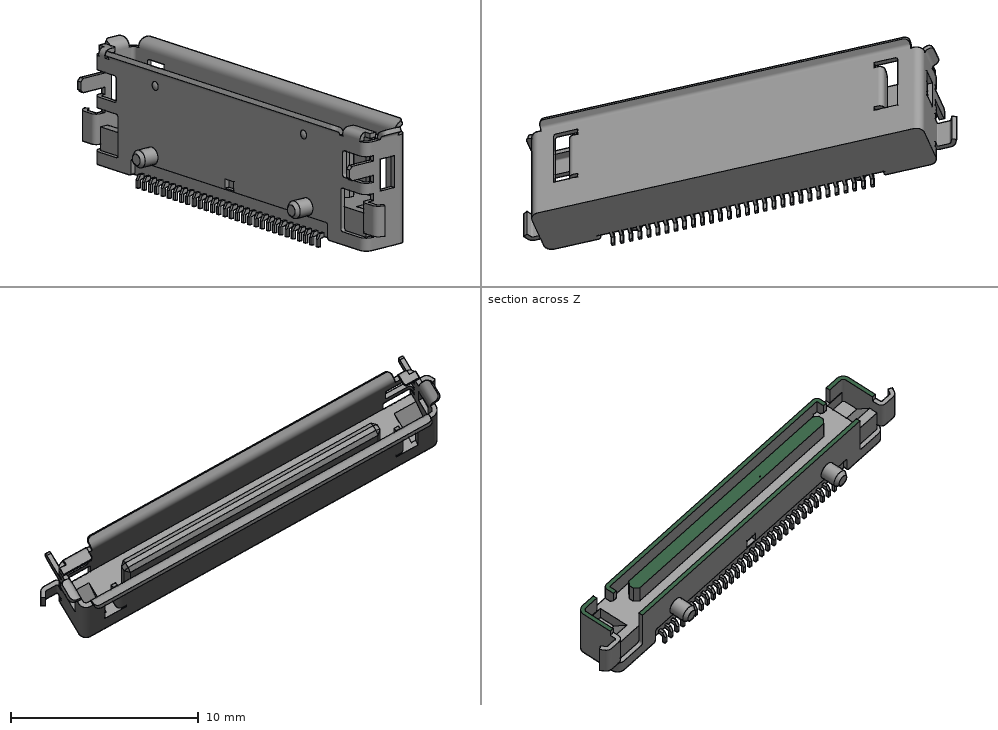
import cadquery as cq
import math

overall_length = 24.2
sheet = 0.27

shell_length = 21.93
shell_depth = 2.9
shell_height = 6.05
shell_corner_radius = 0.45
half_length = shell_length / 2

body_height = 2.03
pocket_length = 1.33
pocket_front = 0.77
pocket_ramp_end = 1.67
pocket_back = 2.61
pocket_depth = 0.73
tongue_length = 15.68
tongue_thickness = 0.77
tongue_centre_y = 1.75
tongue_top = 5.42
tongue_chamfer = 0.25

lip_bend_radius = 0.22
lip_angle = 65.0
lip_straight = 0.35
lip_corner_radius = 0.3
front_lip_left = -9.73
front_lip_right = 8.88
back_lip_length = 20.67
side_lip_width = 1.25
side_lip_centre_y = 1.7

fold_radius = 0.36
fold_top = 6.5
fold_reach = 0.77
left_fold_inner_x = 10.02
right_fold_inner_x = 9.12
fold_root_x = 10.53
fold_outer_x = 10.91

window_relief_y = 0.58
window_fillet = 0.15
upper_window_inner_x = 9.12
upper_window_bottom = 3.78
upper_window_top = 5.25
lower_window_inner_x = 8.98
lower_window_bottom = 0.73
lower_window_top = 3.15
side_slot_front = 1.06
side_slot_back = 2.05
side_slot_bottom = 3.2
side_slot_top = 4.95
back_window_outer_x = 9.6
back_window_inner_x = 8.28
back_window_top = 5.57
pin_cutout_length = 15.83
pin_cutout_height = 0.95
pin_cutout_fillet = 0.15
locating_hole_length = 0.7
locating_hole_bottom = 1.02
locating_hole_height = 0.5

board_tab_reach = 1.11
board_tab_bottom = 4.16
board_tab_top = 4.95
board_tab_chamfer = 0.17

arm_bottom = 1.06
arm_top = 2.75
arm_front_y = -0.07
arm_root_radius = 0.31
arm_hook_radius = 0.39
arm_hook_angle = 60.0
arm_hook_straight = 0.3

latch_outer_x = 8.8
latch_reach_y = 2.18
latch_bend_radius = 0.3
latch_bottom = 2.27
latch_top = 5.2
latch_chamfer = 0.22

post_x = 6.25
post_z = 1.48
post_radius = 0.48
post_reach = 1.11
post_chamfer_length = 0.22
post_chamfer_depth = 0.17
dimple_x = 5.98
dimple_z = 5.42
dimple_radius = 0.25
dimple_height = 0.1
pin_count = 30
pin_row_length = 14.5
pin_width = 0.17
pin_thickness = 0.17
pin_top = 0.22
pin_bend_z = -0.07
pin_bottom = -0.5


def box(x0, x1, y0, y1, z0, z1):
    return cq.Workplane("XY").box(x1 - x0, y1 - y0, z1 - z0, centered=False).translate((x0, y0, z0))


def both_ends(left):
    """The left-hand feature together with its mirror image on the right."""
    return left.union(left.mirror("YZ"))


def make_shell():
    outer = cq.Workplane("XY").rect(shell_length, shell_depth).extrude(shell_height)
    outer = outer.edges("|Z").fillet(shell_corner_radius)
    inner = cq.Workplane("XY").rect(shell_length - 2 * sheet, shell_depth - 2 * sheet).extrude(shell_height)
    inner = inner.edges("|Z").fillet(shell_corner_radius - sheet)
    return outer.cut(inner).translate((0, shell_depth / 2, 0))


def corner_window(inner_x, bottom, top):
    """Opening in the left of the front wall that wraps around the corner."""
    window = box(-half_length, -inner_x, 0, window_relief_y, bottom, top)
    return window.edges("|Y and >X").fillet(window_fillet)


def left_openings():
    upper = corner_window(upper_window_inner_x, upper_window_bottom, upper_window_top)
    lower = corner_window(lower_window_inner_x, lower_window_bottom, lower_window_top)
    slot = box(-half_length, -half_length + sheet, side_slot_front, side_slot_back,
               side_slot_bottom, side_slot_top)
    back = box(-back_window_outer_x, -back_window_inner_x, shell_depth - sheet, shell_depth,
               body_height, back_window_top)
    back = back.edges("|Y and >Z and <X").fillet(window_fillet)
    return upper.union(lower).union(slot).union(back)


def front_openings():
    half = pin_cutout_length / 2
    cutout = box(-half, half, 0, sheet, 0, pin_cutout_height)
    strip_half = half + 2 * pin_cutout_fillet
    cutout = cutout.union(box(-strip_half, strip_half, 0, sheet, -2 * pin_cutout_fillet, 0))
    corners = cq.selectors.BoxSelector((-half - pin_cutout_fillet, -sheet, -pin_cutout_fillet),
                                       (half + pin_cutout_fillet, 2 * sheet, 2 * pin_cutout_height))
    cutout = cutout.edges("|Y").edges(corners).fillet(pin_cutout_fillet)
    hole = box(-locating_hole_length / 2, locating_hole_length / 2, 0, sheet,
               locating_hole_bottom, locating_hole_bottom + locating_hole_height)
    return cutout.union(hole)


def make_lip(length):
    """Lip flaring toward -Y from a wall whose outer face is y = 0, centred on x = 0."""
    angle = math.radians(lip_angle)
    along = (-math.sin(angle), math.cos(angle))

    def bend_point(radius, turned):
        return (-lip_bend_radius + radius * math.cos(turned), shell_height + radius * math.sin(turned))

    def tip_point(radius):
        y, z = bend_point(radius, angle)
        return (y + lip_straight * along[0], z + lip_straight * along[1])

    inside = lip_bend_radius
    outside = lip_bend_radius + sheet
    lip = (
        cq.Workplane("YZ")
        .moveTo(*bend_point(inside, 0))
        .threePointArc(bend_point(inside, angle / 2), bend_point(inside, angle))
        .lineTo(*tip_point(inside))
        .lineTo(*tip_point(outside))
        .lineTo(*bend_point(outside, angle))
        .threePointArc(bend_point(outside, angle / 2), bend_point(outside, 0))
        .close()
        .extrude(length / 2, both=True)
    )
    across = cq.Vector(0, math.cos(angle), math.sin(angle))
    return lip.edges(cq.selectors.ParallelDirSelector(across)).fillet(lip_corner_radius)


def make_lips():
    front = make_lip(front_lip_right - front_lip_left)
    front = front.translate(((front_lip_left + front_lip_right) / 2, 0, 0))
    back = make_lip(back_lip_length).rotate((0, 0, 0), (0, 0, 1), 180).translate((0, shell_depth, 0))
    side = make_lip(side_lip_width).rotate((0, 0, 0), (0, 0, 1), -90)
    side = side.translate((-half_length, side_lip_centre_y, 0))
    return front.union(back).union(both_ends(side))


def left_fold(inner_x):
    """Left corner tab that rises from the front wall and folds flat over the mouth."""
    bend_z = fold_top - fold_radius
    inner_radius = fold_radius - sheet
    diagonal = math.sqrt(0.5)
    root = (
        cq.Workplane("YZ")
        .moveTo(0, shell_height)
        .lineTo(0, bend_z)
        .threePointArc((fold_radius * (1 - diagonal), bend_z + fold_radius * diagonal),
                       (fold_radius, fold_top))
        .lineTo(fold_radius, fold_top - sheet)
        .threePointArc((fold_radius - inner_radius * diagonal, bend_z + inner_radius * diagonal),
                       (sheet, bend_z))
        .lineTo(sheet, shell_height)
        .close()
        .extrude(fold_root_x - inner_x)
        .translate((-fold_root_x, 0, 0))
    )
    flat = box(-fold_outer_x, -inner_x, fold_radius, fold_reach, fold_top - sheet, fold_top)
    flat = flat.edges("|Z and >Y and >X").fillet(window_fillet)
    return root.union(flat)


def left_board_tab():
    tab = box(-half_length, -half_length + sheet, -board_tab_reach, window_relief_y,
              board_tab_bottom, board_tab_top)
    return tab.edges("|X and <Y").chamfer(board_tab_chamfer)


def left_arm():
    """Arm that leaves the side wall, turns outward and ends in a hook."""
    angle = math.radians(arm_hook_angle)
    diagonal = math.sqrt(0.5)
    wall_x = -half_length + sheet
    root_x = wall_x - arm_root_radius
    root_y = arm_front_y + arm_root_radius
    root_inner = arm_root_radius - sheet
    hook_y = arm_front_y + arm_hook_radius
    hook_x = (-overall_length / 2 + arm_hook_radius * math.sin(angle)
              + arm_hook_straight * math.cos(angle))
    hook_inner = arm_hook_radius - sheet

    def hook_point(radius, turned):
        return (hook_x - radius * math.sin(turned), hook_y - radius * math.cos(turned))

    def tip_point(radius):
        x, y = hook_point(radius, angle)
        return (x - arm_hook_straight * math.cos(angle), y + arm_hook_straight * math.sin(angle))

    return (
        cq.Workplane("XY")
        .moveTo(wall_x, window_relief_y)
        .lineTo(wall_x, root_y)
        .threePointArc((root_x + arm_root_radius * diagonal, root_y - arm_root_radius * diagonal),
                       (root_x, arm_front_y))
        .lineTo(hook_x, arm_front_y)
        .threePointArc(hook_point(arm_hook_radius, angle / 2), hook_point(arm_hook_radius, angle))
        .lineTo(*tip_point(arm_hook_radius))
        .lineTo(*tip_point(hook_inner))
        .lineTo(*hook_point(hook_inner, angle))
        .threePointArc(hook_point(hook_inner, angle / 2), hook_point(hook_inner, 0))
        .lineTo(root_x, arm_front_y + sheet)
        .threePointArc((root_x + root_inner * diagonal, root_y - root_inner * diagonal),
                       (root_x + root_inner, root_y))
        .lineTo(wall_x - sheet, window_relief_y)
        .close()
        .extrude(arm_top - arm_bottom)
        .translate((0, 0, arm_bottom))
    )


def left_latch():
    """Tab that leaves the back window's inner edge and turns into the shell."""
    bend = (
        cq.Workplane("XY")
        .moveTo(-back_window_inner_x, shell_depth)
        .lineTo(-latch_outer_x, shell_depth)
        .lineTo(-latch_outer_x, latch_reach_y)
        .lineTo(-latch_outer_x + sheet, latch_reach_y)
        .lineTo(-latch_outer_x + sheet, shell_depth - sheet)
        .lineTo(-back_window_inner_x, shell_depth - sheet)
        .close()
        .extrude(latch_top - latch_bottom)
        .translate((0, 0, latch_bottom))
    )
    bend = bend.edges("|Z and >Y and <X").fillet(latch_bend_radius)
    return bend.edges("|X and <Y").chamfer(latch_chamfer)


def make_body():
    half = half_length - sheet
    body = box(-half, half, sheet, shell_depth - sheet, 0, body_height)
    pocket = (
        cq.Workplane("YZ")
        .polyline([(pocket_front, body_height), (pocket_ramp_end, body_height - pocket_depth),
                   (pocket_back, body_height - pocket_depth), (pocket_back, body_height)])
        .close()
        .extrude(pocket_length)
        .translate((-half, 0, 0))
    )
    tongue = box(-tongue_length / 2, tongue_length / 2, tongue_centre_y - tongue_thickness / 2,
                 tongue_centre_y + tongue_thickness / 2, body_height, tongue_top)
    tongue = tongue.edges("|Z or >Z").chamfer(tongue_chamfer)
    return body.cut(both_ends(pocket)).union(tongue)


def left_post():
    """Locating post standing out of the front, with a bevelled tip."""
    post = cq.Workplane("XZ").circle(post_radius).extrude(post_reach + sheet)
    post = post.faces("<Y").chamfer(post_chamfer_length, post_chamfer_depth)
    return post.translate((-post_x, sheet, post_z))


def left_dimple():
    """Shallow domed bump on the front wall."""
    dome_radius = (dimple_radius ** 2 + dimple_height ** 2) / (2 * dimple_height)
    centre_y = dome_radius - dimple_height
    half_angle = math.asin(dimple_radius / dome_radius) / 2
    halfway = (dome_radius * math.sin(half_angle), centre_y - dome_radius * math.cos(half_angle))
    dome = (
        cq.Workplane("XY")
        .moveTo(0, -dimple_height)
        .threePointArc(halfway, (dimple_radius, 0))
        .lineTo(dimple_radius, sheet)
        .lineTo(0, sheet)
        .close()
        .revolve(360, (0, 0), (0, 1))
    )
    return dome.translate((-dimple_x, 0, dimple_z))


def make_pins():
    """Row of contact tails that slope out of the body and turn down."""
    pin = (
        cq.Workplane("YZ")
        .polyline([(sheet, pin_top), (0, pin_top), (-pin_thickness, pin_bend_z), (-pin_thickness, pin_bottom),
                   (0, pin_bottom), (0, pin_bend_z), (sheet, 0)])
        .close()
        .extrude(pin_width / 2, both=True)
    )
    pitch = pin_row_length / (pin_count - 1)
    return [pin.translate((index * pitch - pin_row_length / 2, 0, 0)) for index in range(pin_count)]


shell = make_shell().cut(both_ends(left_openings())).cut(front_openings()).union(make_lips())
result = shell.union(make_body())
result = result.union(left_fold(left_fold_inner_x))
result = result.union(left_fold(right_fold_inner_x).mirror("YZ"))
for left_feature in (left_board_tab(), left_arm(), left_latch(), left_post(), left_dimple()):
    result = result.union(both_ends(left_feature))
for pin in make_pins():
    result = result.union(pin)